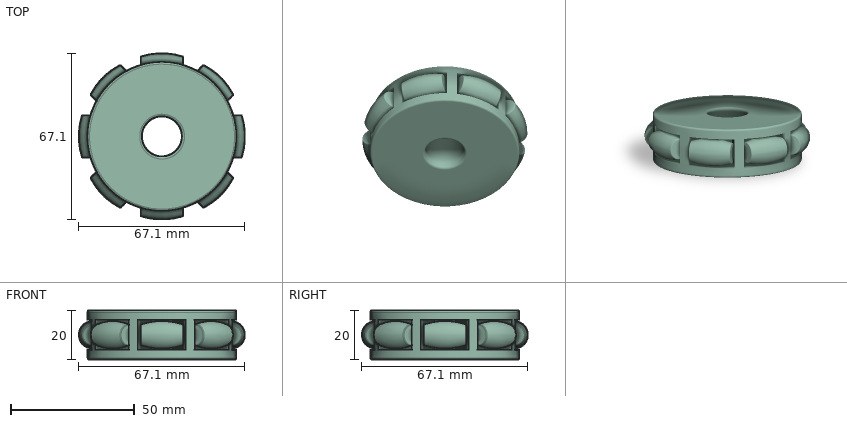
import cadquery as cq
import math

wheel_diameter = 60.0
wheel_height = 20.0
rim_round = 0.8
bore_diameter = 16.0
bore_round = 1.0

gallery_height = 12.0
gallery_radius = 31.5
core_diameter = 20.0
rib_tip_radius = 11.3
rib_rim_width = 3.9

tread_radius = 33.55
roller_diameter = 11.15
roller_count = 8
roller_end_diameter = 8.4
roller_length = 17.05
roller_edge_round = 0.35

roller_ring_radius = tread_radius - roller_diameter / 2
pitch_angle = 360 / roller_count


def make_rib(angle):
    """Wedge with a sharp inner edge, reaching past the rim."""
    rim_half_width = rib_rim_width / 2
    rim_depth = math.sqrt((wheel_diameter / 2) ** 2 - rim_half_width ** 2) - rib_tip_radius
    outer_depth = tread_radius - rib_tip_radius
    outer_half_width = rim_half_width * outer_depth / rim_depth
    rib = (
        cq.Workplane("XY")
        .moveTo(rib_tip_radius, 0)
        .lineTo(tread_radius, -outer_half_width)
        .lineTo(tread_radius, outer_half_width)
        .close()
        .extrude(gallery_height / 2, both=True)
    )
    return rib.rotate((0, 0, 0), (0, 0, 1), angle)


def make_gallery():
    """Ring-shaped space between core and rim, interrupted by the ribs."""
    gallery = (
        cq.Workplane("XY")
        .circle(gallery_radius)
        .circle(core_diameter / 2)
        .extrude(gallery_height / 2, both=True)
    )
    for index in range(roller_count):
        gallery = gallery.cut(make_rib((index + 0.5) * pitch_angle))
    return gallery


def make_wheel():
    """Disc with rounded rims, a rounded bore and a ribbed gallery for the rollers."""
    disc = (
        cq.Workplane("XY")
        .circle(wheel_diameter / 2)
        .circle(bore_diameter / 2)
        .extrude(wheel_height / 2, both=True)
    )
    smallest_circles = cq.selectors.RadiusNthSelector(0)
    largest_circles = cq.selectors.RadiusNthSelector(-1)
    disc = disc.edges(smallest_circles).fillet(bore_round)
    disc = disc.edges(largest_circles).fillet(rim_round)

    return disc.cut(make_gallery())


def make_roller(angle):
    """Crowned barrel with rounded ends, turned about its tangential axis."""
    half_length = roller_length / 2
    middle_radius = roller_diameter / 2
    end_radius = roller_end_diameter / 2
    roller = (
        cq.Workplane("XY")
        .moveTo(0, -half_length)
        .lineTo(end_radius, -half_length)
        .threePointArc((middle_radius, 0), (end_radius, half_length))
        .lineTo(0, half_length)
        .close()
        .revolve(360, (0, 0, 0), (0, 1, 0))
    )
    roller = roller.faces("|Y").edges().fillet(roller_edge_round)
    roller = roller.translate((roller_ring_radius, 0, 0))
    return roller.rotate((0, 0, 0), (0, 0, 1), angle)


wheel = make_wheel()
rollers = [make_roller(index * pitch_angle) for index in range(roller_count)]

for roller in rollers:
    wheel = wheel.cut(roller)

result = cq.Compound.makeCompound([wheel.val(), *[roller.val() for roller in rollers]])